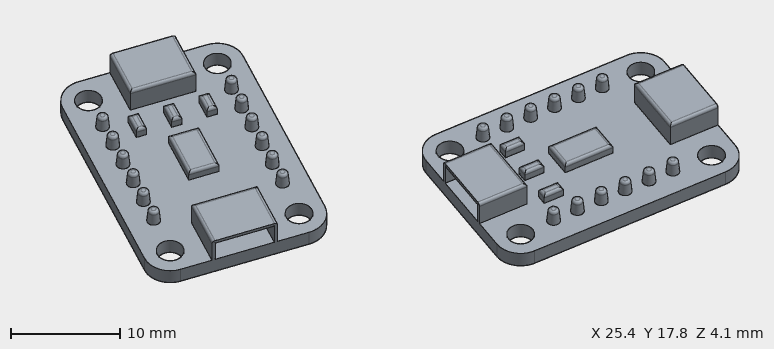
import cadquery as cq

BOARD_LENGTH = 25.4
BOARD_WIDTH = 17.78
BOARD_THICKNESS = 1.6
CORNER_RADIUS = 2.55

HOLE_DIAMETER = 2.55
HOLE_X = BOARD_LENGTH / 2 - CORNER_RADIUS
HOLE_Y = BOARD_WIDTH / 2 - CORNER_RADIUS

SHELL_LENGTH = 5.08
SHELL_WIDTH = 6.48
TOTAL_HEIGHT = 4.1
SHELL_HEIGHT = TOTAL_HEIGHT - BOARD_THICKNESS
SHELL_WALL = 0.33

TOP_EDGE_RADIUS = 0.3
CHIP_HEIGHT = 1.0
MAIN_CHIP_LENGTH = 5.08
MAIN_CHIP_WIDTH = 3.0
SMALL_CHIP_LENGTH = 2.03
SMALL_CHIP_WIDTH = 1.02
SMALL_CHIP_X = -5.23
SMALL_CHIP_PITCH = 3.48

PIN_COUNT = 6
PIN_PITCH = 2.55
PIN_ROW_CENTRE_X = -0.3
PIN_BASE_DIAMETER = 1.27
PIN_TOP_DIAMETER = 1.0
PIN_HEIGHT = 1.5
PIN_TIP_RADIUS = 0.3


def make_board():
    board = cq.Workplane("XY").box(
        BOARD_LENGTH, BOARD_WIDTH, BOARD_THICKNESS, centered=(True, True, False)
    )
    board = board.edges("|Z").fillet(CORNER_RADIUS)
    holes = (
        cq.Workplane("XY")
        .rect(2 * HOLE_X, 2 * HOLE_Y, forConstruction=True)
        .vertices()
        .circle(HOLE_DIAMETER / 2)
        .extrude(BOARD_THICKNESS)
    )
    return board.cut(holes)


def make_block(length, width, height):
    """Plain block standing on the board, centred on the Z axis."""
    return (
        cq.Workplane("XY")
        .workplane(offset=BOARD_THICKNESS)
        .box(length, width, height, centered=(True, True, False))
    )


def make_chip(length, width):
    return make_block(length, width, CHIP_HEIGHT).faces(">Z").edges().fillet(TOP_EDGE_RADIUS)


def make_left_shell():
    """Connector shell open toward -X, with the board surface as its floor."""
    shell = make_block(SHELL_LENGTH, SHELL_WIDTH, SHELL_HEIGHT)
    shell = shell.faces(">Z").edges("|X or >X").fillet(TOP_EDGE_RADIUS)
    cavity = make_block(
        SHELL_LENGTH - SHELL_WALL, SHELL_WIDTH - 2 * SHELL_WALL, SHELL_HEIGHT - SHELL_WALL
    ).translate((-SHELL_WALL / 2, 0, 0))
    return shell.cut(cavity).translate(((SHELL_LENGTH - BOARD_LENGTH) / 2, 0, 0))


def make_pin():
    pin = (
        cq.Workplane("XY")
        .workplane(offset=BOARD_THICKNESS)
        .circle(PIN_BASE_DIAMETER / 2)
        .workplane(offset=PIN_HEIGHT)
        .circle(PIN_TOP_DIAMETER / 2)
        .loft()
    )
    return pin.faces(">Z").edges().fillet(PIN_TIP_RADIUS)


result = make_board()

left_shell = make_left_shell()
result = result.union(left_shell).union(left_shell.mirror("YZ"))

result = result.union(make_chip(MAIN_CHIP_LENGTH, MAIN_CHIP_WIDTH))

small_chip = make_chip(SMALL_CHIP_LENGTH, SMALL_CHIP_WIDTH)
for row in (-1, 0, 1):
    result = result.union(small_chip.translate((SMALL_CHIP_X, row * SMALL_CHIP_PITCH, 0)))

pin = make_pin()
for pin_y in (-HOLE_Y, HOLE_Y):
    for index in range(PIN_COUNT):
        pin_x = PIN_ROW_CENTRE_X + (index - (PIN_COUNT - 1) / 2) * PIN_PITCH
        result = result.union(pin.translate((pin_x, pin_y, 0)))